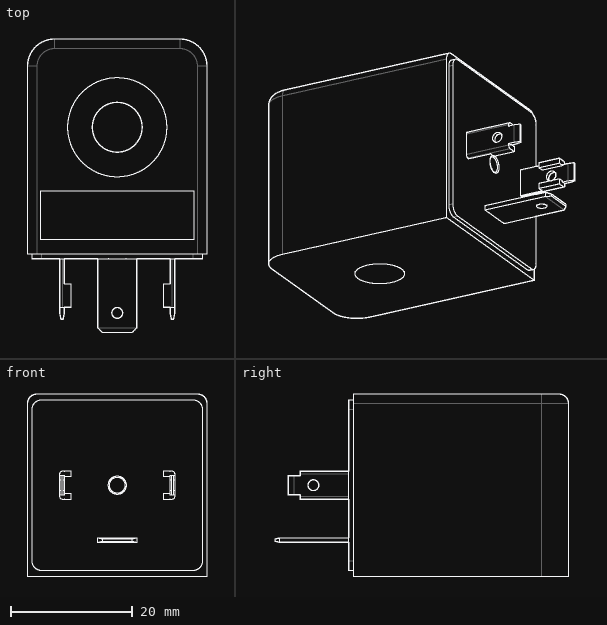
import cadquery as cq

total_length = 48.2
body_width = 29.5
body_height = 30.0
earth_reach = 12.85
body_length = total_length - earth_reach
back_corner_radius = 4.5
edge_radius = 1.6
mid_height = body_height / 2

bore_y = 20.85
bore_diameter = 8.15
recess_diameter = 16.3
recess_depth = 1.25

label_width = 25.1
label_length = 8.0
label_front = 2.35
label_depth = 0.5

plate_side = 28.0
plate_thickness = 0.75
plate_corner_radius = 1.6

screw_diameter = 2.6
screw_chamfer = 0.2
screw_depth = 9.65
screw_tip_depth = screw_diameter / 2

blade_thickness = 0.75
blade_hole_diameter = 1.75
tip_bevel = 0.2

earth_width = 6.4
earth_bottom = 5.6
earth_tip_length = 0.75
earth_hole_reach = 9.65

side_outer_x = 9.45
side_height = 4.65
side_shoulder_reach = 8.75
side_reach = 10.7
side_tip_height = 3.15
side_tip_length = 0.95
side_hole_reach = 6.55
side_edge_radius = 0.5
flange_width = 1.9
flange_thickness = 0.9
flange_start = 4.85


def y_block(x_size, y_front, y_back, z_size, x_center, z_center):
    """Box between two Y positions, centred on the given X and Z."""
    length = y_back - y_front
    center = (x_center, y_front + length / 2, z_center)
    return cq.Workplane("XY").box(x_size, length, z_size).translate(center)


def make_housing():
    housing = y_block(body_width, 0, body_length, body_height, 0, mid_height)
    housing = housing.edges("|Z and >Y").fillet(back_corner_radius)
    housing = housing.faces(">Z").edges("not <Y").fillet(edge_radius)
    plate = y_block(plate_side, -plate_thickness, 0, plate_side, 0, mid_height)
    return housing.union(plate.edges("|Y").fillet(plate_corner_radius))


def cut_top_openings(body):
    top = cq.Workplane("XY", origin=(0, 0, body_height))
    bore = top.center(0, bore_y).circle(bore_diameter / 2).extrude(-body_height)
    recess = top.center(0, bore_y).circle(recess_diameter / 2).extrude(-recess_depth)
    label_y = label_front + label_length / 2
    label = top.center(0, label_y).rect(label_width, label_length).extrude(-label_depth)
    return body.cut(bore).cut(recess).cut(label)


def make_screw_hole():
    radius = screw_diameter / 2
    return (
        cq.Workplane("XY", origin=(0, -plate_thickness, mid_height))
        .moveTo(0, 0)
        .lineTo(radius + screw_chamfer, 0)
        .lineTo(radius, screw_chamfer)
        .lineTo(radius, screw_depth)
        .lineTo(0, screw_depth + screw_tip_depth)
        .close()
        .revolve(360, (0, 0, 0), (0, 1, 0))
    )


def make_earth_blade():
    blade_z = earth_bottom + blade_thickness / 2
    blade = y_block(earth_width, -earth_reach, 0, blade_thickness, 0, blade_z)
    blade = blade.edges("|Z and <Y").chamfer(earth_tip_length)
    blade = blade.faces("<Y").edges("|X").chamfer(earth_tip_length, tip_bevel)
    hole = (
        cq.Workplane("XY", origin=(0, -earth_hole_reach, earth_bottom))
        .circle(blade_hole_diameter / 2)
        .extrude(blade_thickness)
    )
    return blade.cut(hole)


def make_left_blade():
    blade_x = -side_outer_x + blade_thickness / 2
    flange_x = -side_outer_x + flange_width / 2
    shank = y_block(blade_thickness, -side_shoulder_reach, 0, side_height, blade_x, mid_height)
    tip = y_block(blade_thickness, -side_reach, -side_shoulder_reach, side_tip_height, blade_x, mid_height)
    tip = tip.faces("<Y").edges("|Z").chamfer(side_tip_length, tip_bevel)
    blade = shank
    for side in (-1, 1):
        flange_z = mid_height + side * (side_height - flange_thickness) / 2
        flange = y_block(
            flange_width, -side_shoulder_reach, -flange_start, flange_thickness, flange_x, flange_z
        )
        blade = blade.union(flange)
    blade = blade.edges("|Y and <X").fillet(side_edge_radius)
    hole = (
        cq.Workplane("YZ", origin=(-side_outer_x, -side_hole_reach, mid_height))
        .circle(blade_hole_diameter / 2)
        .extrude(blade_thickness)
    )
    return blade.union(tip).cut(hole)


body = cut_top_openings(make_housing()).cut(make_screw_hole())
left_blade = make_left_blade()
right_blade = left_blade.mirror("YZ")
result = body.union(make_earth_blade()).union(left_blade).union(right_blade)